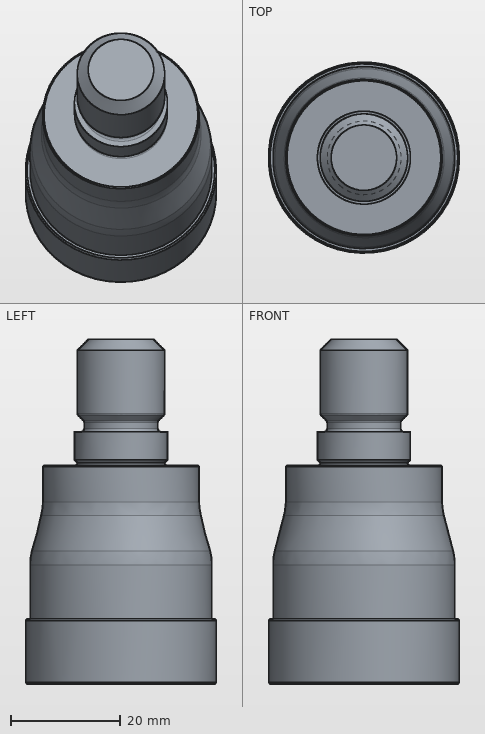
import cadquery as cq
import math

cap_radius = 17.45
cap_height = 11.9
cap_chamfer = 0.3

barrel_radius = 16.65
barrel_end_z = 23.1
shoulder_radius = 14.3
taper_end_z = 32.05
taper_round = 10.0
shoulder_z = 39.95
shoulder_chamfer = 0.25

neck_radius = 8.0
neck_fillet = 0.45
collar_radius = 8.5
collar_chamfer = collar_radius - neck_radius
collar_bottom_z = 40.95
collar_top_z = 46.05

total_height = 63.0
stud_radius = 8.0
stud_chamfer = 2.0
groove_radius = 6.75
groove_fillet = 0.7
stud_bottom_z = 49.25
stud_rounding = 0.5
groove_top_z = stud_bottom_z - (stud_radius - groove_radius)

EDGE_TOLERANCE = 0.005


def revolve_profile(points):
    """Spin a closed (radius, height) outline around Z."""
    return cq.Workplane("XZ").polyline(points).close().revolve(360, (0, 0, 0), (0, 1, 0))


def circle_at(body, radius, height):
    """Select the circular edge with the given radius and height."""
    def matches(edge):
        if edge.geomType() != "CIRCLE":
            return False
        error = math.hypot(edge.radius() - radius, edge.Center().z - height)
        return error < EDGE_TOLERANCE

    return body.edges().filter(matches)


def make_cap():
    cap = cq.Workplane("XY").circle(cap_radius).extrude(cap_height)
    return cap.faces("<Z or >Z").edges().chamfer(cap_chamfer)


def make_stud_body():
    """Barrel, taper, shoulder, collar and stud turned in one piece, resting on the cap."""
    body = revolve_profile([
        (0, cap_height),
        (barrel_radius, cap_height),
        (barrel_radius, barrel_end_z),
        (shoulder_radius, taper_end_z),
        (shoulder_radius, shoulder_z - shoulder_chamfer),
        (shoulder_radius - shoulder_chamfer, shoulder_z),
        (neck_radius, shoulder_z),
        (neck_radius, collar_bottom_z - collar_chamfer),
        (collar_radius, collar_bottom_z),
        (collar_radius, collar_top_z),
        (groove_radius, collar_top_z),
        (groove_radius, groove_top_z),
        (stud_radius, stud_bottom_z),
        (stud_radius, total_height - stud_chamfer),
        (stud_radius - stud_chamfer, total_height),
        (0, total_height),
    ])
    rounded_corners = [
        (barrel_radius, barrel_end_z, taper_round),
        (shoulder_radius, taper_end_z, taper_round),
        (neck_radius, shoulder_z, neck_fillet),
        (groove_radius, collar_top_z, groove_fillet),
        (groove_radius, groove_top_z, stud_rounding),
        (stud_radius, stud_bottom_z, stud_rounding),
    ]
    for radius, height, fillet in rounded_corners:
        body = circle_at(body, radius, height).fillet(fillet)
    return body


cap = make_cap()
stud_body = make_stud_body()

result = cq.Compound.makeCompound([cap.val(), stud_body.val()])